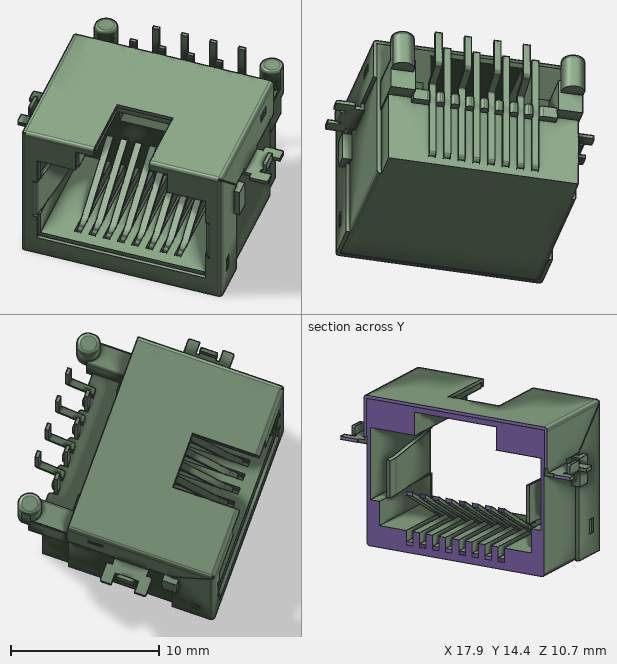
import cadquery as cq
import math


shell_width = 14.32
shell_depth = 10.47
shell_height = 10.65
sheet = 0.25
bend_radius = 0.27

opening_half_width = 6.03
opening_bottom = 1.38
opening_shoulder = 8.38
latch_half_width = 3.28
opening_top = 10.02
roof_notch_half_width = 1.99
roof_notch_depth = 4.76
notch_corner_radius = 0.13
cavity_half_width = 5.9
cavity_floor = 1.58
back_wall_front = 8.6
channel_half_width = 3.17
window_bottom = 5.53
relief_half_width = 6.62
relief_bottom = 3.3
relief_front = 0.72

flap_bottom = 7.68
wing_depth = 2.99
seam_width = 0.07
stop_front, stop_rear = 2.5, 3.55
stop_bottom, stop_top = 5.48, 7.5
stop_outer = 7.57

ear_half_span = 8.95
ear_center = 5.87
ear_bottom = 7.16
ear_length = 3.28
ear_neck_length = 2.47
ear_neck_outer = 7.6
ear_notch_length = 1.66
ear_notch_inner = 8.13
ear_tab_length = 1.2
ear_tab_outer = 8.5
ear_tab_top = 8.0
ear_corner_radius = 0.15
ear_tab_corner_radius = 0.1
ear_fold_radius = 0.2

spring_bottom, spring_top = 3.37, 6.34
spring_tip_bottom, spring_tip_top = 3.53, 6.14
spring_root = 6.3
spring_slit = 0.1
spring_face = 6.01
spring_land = 5.32
spring_land_depth = 6.0
spring_tip_depth = 6.84

upper_barb = (7.93, 8.97, 9.13, 9.67)
lower_barb = (1.0, 1.54, 1.52, 2.55)

housing_front = 0.35
floor_edge_radius = 0.23
block_half_width = 6.59
block_rear = 12.44
comb_half_width = 5.01
comb_rear = 12.96
comb_bottom = 4.7
comb_tooth_radius = 0.21
arm_outer = 6.65
arm_inner = 4.95
arm_rear = 13.4
arm_bottom = 5.12
arm_top = 7.48
arm_inner_edge_radius = 0.13
arm_outer_edge_chamfer = 0.07
foot_inner = 3.8
foot_rear = 10.85
post_x = 5.92
post_radius = 0.8
post_y = 13.59
post_bottom = 6.53
post_top = 9.15
post_edge_radius = 0.27

contact_count = 8
contact_pitch = 1.02
contact_width = 0.47
contact_thickness = 0.25
contact_run_z = 0.68
contact_heel_y = 1.88
contact_knee_y = 2.3
contact_knee_z = 1.16
contact_bend_radius = 0.23
contact_jog_radius = 0.2
contact_tip_y = 7.84
contact_tip_z = 4.6
tail_y = 12.48
outer_tail_y = 14.2
tail_top = 9.38
jog_start_z = 6.4
jog_end_z = 6.85
slot_front = 1.29

half_width = shell_width / 2
inner_half_width = half_width - sheet
roof_bottom = shell_height - sheet
contact_xs = [(i - (contact_count - 1) / 2) * contact_pitch for i in range(contact_count)]


def block(x0, x1, y0, y1, z0, z1):
    """Box between opposite corners."""
    return cq.Workplane("XY").box(x1 - x0, y1 - y0, z1 - z0, centered=False).translate((x0, y0, z0))


def wide_block(half, y0, y1, z0, z1):
    """Box centred on X = 0."""
    return block(-half, half, y0, y1, z0, z1)


def on_both_sides(right_half):
    """A shape on the +X side together with its mirror image."""
    return [right_half, right_half.mirror("YZ")]


def bent_strip(points, radii):
    """Flat strip along a YZ polyline whose inner corners are rounded by the given radii."""
    path = cq.Workplane("YZ").moveTo(*points[0])
    for before, corner, after, radius in zip(points, points[1:], points[2:], radii):
        a = cq.Vector(*before, 0) - cq.Vector(*corner, 0)
        b = cq.Vector(*after, 0) - cq.Vector(*corner, 0)
        a, b = a.normalized(), b.normalized()
        half_angle = a.getAngle(b) / 2
        origin = cq.Vector(*corner, 0)
        reach = radius / math.tan(half_angle)
        start, end = origin + a * reach, origin + b * reach
        middle = origin + (a + b).normalized() * (radius / math.sin(half_angle) - radius)
        path = path.lineTo(start.x, start.y).threePointArc((middle.x, middle.y), (end.x, end.y))
    path = path.lineTo(*points[-1])
    first = cq.Vector(0, *points[0])
    direction = cq.Vector(0, *points[1]) - first
    section = cq.Workplane(cq.Plane(first, (1, 0, 0), direction))
    return section.rect(contact_width, contact_thickness).sweep(path)


def contact(x, has_outer_tail):
    """Spring contact: inclined beam, short level knee, upright heel, run under the floor and an upright tail."""
    points = [
        (contact_tip_y, contact_tip_z),
        (contact_knee_y, contact_knee_z),
        (contact_heel_y, contact_knee_z),
        (contact_heel_y, contact_run_z),
        (tail_y, contact_run_z),
    ]
    radii = [contact_jog_radius, *[contact_bend_radius] * 3]
    if has_outer_tail:
        points += [(tail_y, jog_start_z), (outer_tail_y, jog_end_z), (outer_tail_y, tail_top)]
        radii += [contact_jog_radius, contact_jog_radius]
    else:
        points.append((tail_y, tail_top))
    return bent_strip(points, radii).translate((x, 0, 0))


contacts = [contact(x, i % 2 == 1) for i, x in enumerate(contact_xs)]


def housing_body():
    """Block inside the shield plus the lower block behind it."""
    body = wide_block(inner_half_width, housing_front, shell_depth, 0, roof_bottom)
    body = body.edges("|Y and <Z").fillet(floor_edge_radius)
    return body.union(wide_block(block_half_width, back_wall_front, block_rear, 0, window_bottom))


def plug_cavity():
    """Plug space, side reliefs for the ground springs and the latch channel open to the rear."""
    cavity = wide_block(cavity_half_width, 0, back_wall_front, cavity_floor, opening_shoulder)
    relief = wide_block(
        relief_half_width, relief_front, back_wall_front, relief_bottom, opening_shoulder
    )
    entry = wide_block(
        spring_root + spring_slit, 0, relief_front, spring_bottom - spring_slit, spring_top + spring_slit
    )
    channel = wide_block(channel_half_width, 0, shell_depth, window_bottom, opening_top)
    notch = wide_block(roof_notch_half_width, 0, roof_notch_depth, opening_shoulder, shell_height)
    return cavity.union(relief).union(entry).union(channel).union(notch)


def tail_comb():
    """Ledge behind the block, notched with round-edged teeth for the contact tails."""
    comb = wide_block(comb_half_width, back_wall_front, comb_rear, comb_bottom, window_bottom)
    notch_front = tail_y - contact_thickness / 2
    for x in contact_xs:
        comb = comb.cut(
            block(
                x - contact_width / 2, x + contact_width / 2,
                notch_front, comb_rear, comb_bottom, window_bottom,
            )
        )
    outermost = contact_xs[-1] + contact_pitch / 2
    teeth = cq.selectors.BoxSelector(
        (-outermost, comb_rear - 0.02, comb_bottom), (outermost, comb_rear + 0.02, window_bottom)
    )
    return comb.edges("|Z").edges(teeth).fillet(comb_tooth_radius)


def rear_arm():
    """Arm on the +X side with its inward foot and the locating post, trimmed flush outside."""
    arm = block(arm_inner, arm_outer, shell_depth, arm_rear, arm_bottom, arm_top)
    foot = block(foot_inner, arm_inner, shell_depth, foot_rear, arm_bottom, arm_top)
    arm = arm.faces(">Z").edges("<X").fillet(arm_inner_edge_radius)
    arm = arm.faces(">Z").edges(">X").chamfer(arm_outer_edge_chamfer)
    arm = arm.union(foot)
    post = cq.Workplane("XY", origin=(post_x, post_y, post_bottom)).circle(post_radius)
    post = post.extrude(post_top - post_bottom).faces(">Z").edges().fillet(post_edge_radius)
    outside = block(
        arm_outer, half_width, post_y - post_radius, post_y + post_radius, post_bottom, post_top
    )
    return arm.union(post.cut(outside))


def latch_barbs():
    """Side barbs filling the shield windows; each is ramped over half of its face."""
    front, rear, bottom, top = upper_barb
    profile = [
        (inner_half_width, bottom), (half_width, bottom),
        (half_width, (bottom + top) / 2), (inner_half_width, top),
    ]
    upper = cq.Workplane("XZ", origin=(0, rear, 0)).polyline(profile).close().extrude(rear - front)
    front, rear, bottom, top = lower_barb
    profile = [
        (inner_half_width, front), (half_width, (front + rear) / 2),
        (half_width, rear), (inner_half_width, rear),
    ]
    lower = cq.Workplane("XY", origin=(0, 0, bottom)).polyline(profile).close().extrude(top - bottom)
    return [upper, lower]


housing = housing_body().cut(plug_cavity()).union(tail_comb())
for feature in [rear_arm(), *latch_barbs()]:
    for side in on_both_sides(feature):
        housing = housing.union(side)
for x in contact_xs:
    slot_bottom = contact_run_z - contact_thickness / 2
    housing = housing.cut(
        block(
            x - contact_width / 2, x + contact_width / 2,
            slot_front, back_wall_front, slot_bottom, cavity_floor,
        )
    )
for pin in contacts:
    housing = housing.cut(pin)


def folded_sheet():
    """Roof, front and side walls, with the side walls cut back to flaps and wings."""
    shell = wide_block(half_width, 0, shell_depth, 0, shell_height)
    shell = shell.edges("(|Y and >Z) or (|X and <Y and >Z) or (|Z and <Y)").fillet(bend_radius)
    shell = shell.cut(wide_block(inner_half_width, sheet, shell_depth, 0, roof_bottom))
    return shell.cut(wide_block(half_width, wing_depth, shell_depth, 0, flap_bottom))


def notch_corner_rounding():
    """Cutter that rounds the lower corners of the roof notch where it meets the latch opening."""
    r = notch_corner_radius
    edge = wide_block(roof_notch_half_width + r, 0, sheet, opening_top, opening_top + r)
    for side in (-1, 1):
        center = side * (roof_notch_half_width + r)
        round_part = cq.Workplane("XZ", origin=(center, sheet, opening_top + r)).circle(r).extrude(sheet)
        edge = edge.cut(round_part)
    return edge


def front_opening():
    """Stepped plug opening, spring root slots and the notch for the plug latch."""
    opening = wide_block(opening_half_width, 0, sheet, opening_bottom, opening_shoulder)
    latch = wide_block(latch_half_width, 0, sheet, opening_shoulder, opening_top)
    springs = wide_block(
        spring_root, 0, sheet, spring_bottom - spring_slit, spring_top + spring_slit
    )
    notch = wide_block(roof_notch_half_width, 0, roof_notch_depth, opening_top, shell_height)
    notch = notch.union(notch_corner_rounding())
    return opening.union(latch).union(springs).union(notch)


def corner_seam():
    """Diagonal gap on the +X side between the roof flap and the front wing."""
    rise = shell_height - flap_bottom
    length = math.hypot(wing_depth, rise)
    seam = cq.Workplane("XY").box(sheet, length, seam_width)
    seam = seam.rotate((0, 0, 0), (1, 0, 0), -math.degrees(math.atan2(rise, wing_depth)))
    return seam.translate((half_width - sheet / 2, wing_depth / 2, flap_bottom + rise / 2))


def board_ear():
    """Ear on the +X side: neck folded out of the flap, forked plate and upturned tab."""
    ear_top = ear_bottom + sheet

    def strip(x0, x1, length, z0, z1):
        return block(x0, x1, ear_center - length / 2, ear_center + length / 2, z0, z1)

    plate = strip(ear_neck_outer, ear_half_span, ear_length, ear_bottom, ear_top)
    plate = plate.edges("|Z").fillet(ear_corner_radius)
    plate = plate.cut(strip(ear_notch_inner, ear_half_span, ear_notch_length, ear_bottom, ear_top))
    neck = strip(inner_half_width, ear_notch_inner, ear_neck_length, ear_bottom, ear_top)
    drop = strip(inner_half_width, half_width, ear_neck_length, ear_bottom, flap_bottom)
    bridge = strip(ear_notch_inner, ear_tab_outer - sheet, ear_tab_length, ear_bottom, ear_top)
    tab = strip(ear_tab_outer - sheet, ear_tab_outer, ear_tab_length, ear_bottom, ear_tab_top)
    tab = tab.edges("|X and >Z").fillet(ear_tab_corner_radius)
    tab = tab.edges("|Y and >X and <Z").fillet(ear_fold_radius)
    return plate.union(neck).union(drop).union(bridge).union(tab)


def ground_spring():
    """Leaf on the +X side, folded back from the front wall and tapering to a straight landing."""
    fold = spring_root - spring_face
    fold_middle = fold * (1 - math.sqrt(0.5))
    leaf = (
        cq.Workplane("XY", origin=(0, 0, spring_bottom))
        .moveTo(spring_root, 0)
        .threePointArc((spring_face + fold_middle, fold_middle), (spring_face, fold))
        .lineTo(spring_land, spring_land_depth)
        .lineTo(spring_land, spring_tip_depth)
        .lineTo(spring_land + sheet, spring_tip_depth)
        .lineTo(spring_land + sheet, spring_land_depth)
        .lineTo(spring_root, sheet)
        .close()
        .extrude(spring_top - spring_bottom)
    )
    taper = (
        cq.Workplane("XZ", origin=(0, spring_tip_depth, 0))
        .polyline(
            [
                (spring_root, spring_bottom), (spring_root, spring_top), (spring_face, spring_top),
                (spring_land, spring_tip_top), (spring_land, spring_tip_bottom),
                (spring_face, spring_bottom),
            ]
        )
        .close()
        .extrude(spring_tip_depth)
    )
    return leaf.intersect(taper)


side_stop = block(inner_half_width, stop_outer, stop_front, stop_rear, stop_bottom, stop_top)
barb_windows = [
    block(inner_half_width, half_width, front, rear, bottom, top)
    for front, rear, bottom, top in (upper_barb, lower_barb)
]
shield = folded_sheet().cut(front_opening())
for cutter in [corner_seam(), *barb_windows]:
    for side in on_both_sides(cutter):
        shield = shield.cut(side)
for feature in [board_ear(), ground_spring(), side_stop]:
    for side in on_both_sides(feature):
        shield = shield.union(side)

bodies = [shield, housing, *contacts]
result = cq.Compound.makeCompound([body.solids().val() for body in bodies])